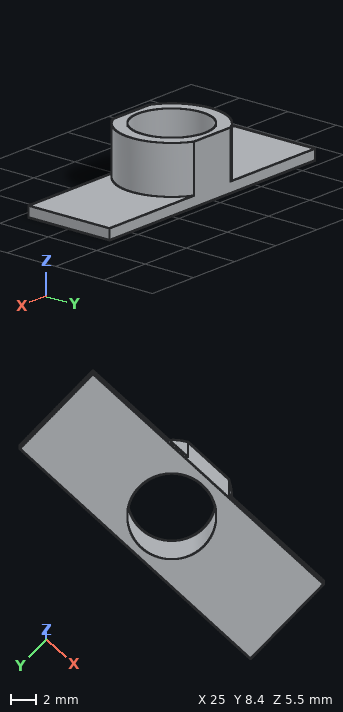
import cadquery as cq

length = 25
width = 8.4
plate_thickness = 1

height = 5.5
collar_diameter = 9.5
bore_diameter = 7


def upright_cylinder(diameter):
    return cq.Workplane("XY").circle(diameter / 2).extrude(height)


plate = cq.Workplane("XY").rect(length, width).extrude(plate_thickness)
side_trim = cq.Workplane("XY").rect(length, width).extrude(height)
collar = upright_cylinder(collar_diameter).intersect(side_trim)

result = plate.union(collar).cut(upright_cylinder(bore_diameter))